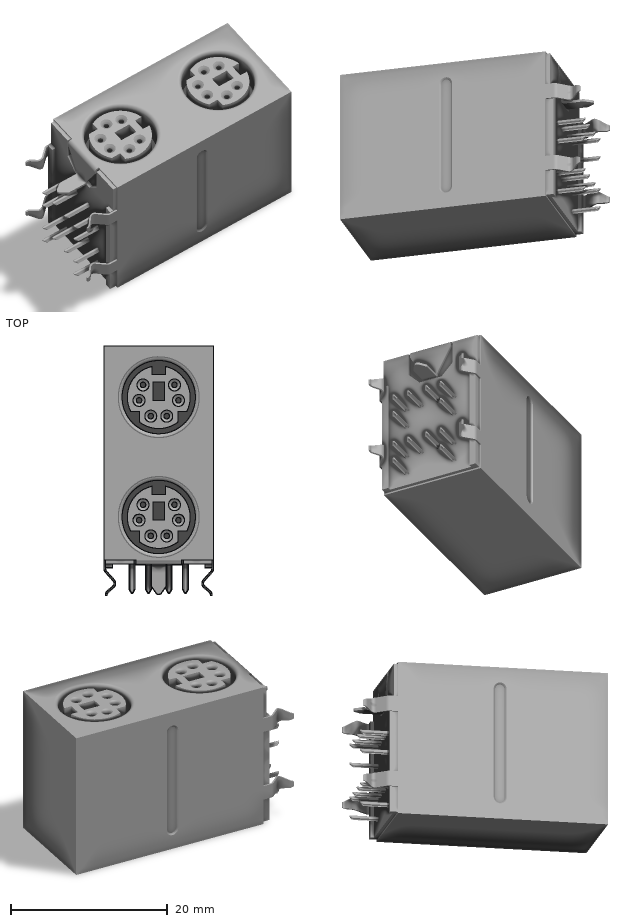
import cadquery as cq

WIDTH = 14.0
HEIGHT = 20.0
SHELL_LENGTH = 27.3
OVERALL_LENGTH = 31.8
SHEET = 0.22
LEG_TIP_Y = SHELL_LENGTH - OVERALL_LENGTH

CORE_OUT = 0.5
RAIL_OUT = 1.0
RAIL_WIDTH = 0.9
RAIL_TOP = 15.58

SOCKET_Y = 5.5
SOCKET_PITCH = 15.25
MOUTH_RADIUS = 4.67
MOUTH_ROUND = 0.48
GROOVE_DEPTH = 3.82
INSERT_RADIUS = 4.0
INSERT_DROP = 0.2
KEYWAY_WIDTH = 1.72
KEYWAY_FLOOR_Y = 2.9
SHOULDER_Y = -1.8
CHIN_WIDTH = 4.93
KEY_HOLE_WIDTH = 1.53
KEY_HOLE_LENGTH = 2.32
KEY_HOLE_Y = 0.75
KEY_HOLE_DEPTH = 3.18
CONTACTS = [(2.0, 1.55), (2.5, -0.4), (1.02, -2.42)]
CONTACT_RADIUS = 0.35
CONTACT_DEPTH = 3.18
CONE_RADIUS = 0.75
CONE_DEPTH = 0.38

SIDE_GROOVE_Y = 13.25
SIDE_GROOVE_LENGTH = 16.0
SIDE_GROOVE_WIDTH = 1.7
SIDE_GROOVE_DEPTH = 0.22
SIDE_GROOVE_TAPER = 45.0

TAB_WIDTH = 5.85
TAB_SHEET = 0.32
TAB_FACE_Y = -0.6
TAB_BEND = 0.2
TAB_TAPER_Z = 19.18
TONGUE_WIDTH = 1.97
TONGUE_TOP = 15.45
TONGUE_TIP_Y = -4.4
TONGUE_TAPER_Y = -3.3

POCKET_WIDTH = 6.35
POCKET_FLOOR_WIDTH = 3.18
POCKET_BOTTOM = 15.07
POCKET_CORNER_Z = 16.7
POCKET_FLOOR_Y = 0.0

LEG_Z = [4.55, 14.47]
LEG_WIDTH = 1.97
LEG_TAPER_Y = -2.83
LEG_TIP_WIDTH = 0.7
LEG_KNEE_Y = -1.3
LEG_ELBOW_Y = -3.02
LEG_ELBOW_IN = 1.65
LEG_ANKLE_Y = -4.15
LEG_ANKLE_IN = 0.302
LEG_BEND = 0.57

PIN_WIDE_X = 3.4
PIN_NARROW_X = 1.3
PIN_FOUR_Z = [4.25, 11.23]
PIN_TWO_DROP = 2.5
PIN_WIDTH = 0.75
PIN_HEIGHT = 0.55
PIN_EDGE_RISE = 0.13
PIN_CROWN_WIDTH = 0.4
PIN_CROWN_RISE = 0.38
PIN_HOLLOW_WIDTH = 0.32
PIN_HOLLOW_HEIGHT = 0.3
PIN_TIP_Y = -4.23
PIN_TAPER_Y = -3.72

NOSE_SHARE = 1 / 3
NOSE_ROUNDNESS = 1 / 4


def box(x_range, y_range, z_range):
    """Axis-aligned box between pairs of coordinates."""
    size = [high - low for low, high in (x_range, y_range, z_range)]
    corner = (x_range[0], y_range[0], z_range[0])
    return cq.Workplane("XY").box(*size, centered=False).translate(corner)


def bent_strip(points, bend, sheet, width, across_x):
    """Sheet strip swept along a path that sets out along -Y and is rounded at each corner.

    Its width lies along X if across_x is true, otherwise along Z.
    """
    path = cq.Wire.makePolygon([cq.Vector(*p) for p in points])
    path = path.fillet(bend, path.Vertices()[1:-1])
    section = (width, sheet) if across_x else (sheet, width)
    start = cq.Workplane(cq.Plane(origin=points[0], xDir=(1, 0, 0), normal=(0, -1, 0)))
    return start.rect(*section).sweep(cq.Workplane(path))


def pointed_plan(width, taper_y, tip_y):
    """Tall prism whose plan runs along -Y and closes in a blunt point."""
    half = width / 2
    nose = width * NOSE_SHARE
    tip = nose / 2
    tip_side_y = tip_y + nose * NOSE_ROUNDNESS
    outline = (
        cq.Workplane("XY")
        .moveTo(-half, 0)
        .lineTo(-half, taper_y)
        .lineTo(-tip, tip_side_y)
        .threePointArc((0, tip_y), (tip, tip_side_y))
        .lineTo(half, taper_y)
        .lineTo(half, 0)
        .close()
    )
    return outline.extrude(HEIGHT)


def make_body():
    """Shell filled by the core, with the core's end face and two rails standing proud."""
    half = WIDTH / 2
    inner = half - SHEET
    body = box((-half, half), (0, SHELL_LENGTH), (0, HEIGHT))
    body = body.union(box((-inner, inner), (-CORE_OUT, SHEET), (SHEET, HEIGHT - SHEET)))
    for left, right in ((-inner, RAIL_WIDTH - inner), (inner - RAIL_WIDTH, inner)):
        body = body.union(box((left, right), (-RAIL_OUT, SHEET), (SHEET, RAIL_TOP)))
    return body


def make_tab_pocket():
    """Six-sided recess in the core's end, open at its top."""
    half = POCKET_WIDTH / 2
    floor = POCKET_FLOOR_WIDTH / 2
    top = HEIGHT - SHEET
    outline = [(-half, top), (-half, POCKET_CORNER_Z), (-floor, POCKET_BOTTOM),
               (floor, POCKET_BOTTOM), (half, POCKET_CORNER_Z), (half, top)]
    plane = cq.Workplane("XZ", origin=(0, POCKET_FLOOR_Y, 0))
    return plane.polyline(outline).close().extrude(CORE_OUT)


def make_side_groove(side):
    """Round-ended groove with sloping walls; side is -1 or 1 along X."""
    centre = (side * WIDTH / 2, SIDE_GROOVE_Y, HEIGHT / 2)
    plane = cq.Plane(origin=centre, xDir=(0, 0, 1), normal=(-side, 0, 0))
    outline = cq.Workplane(plane).slot2D(SIDE_GROOVE_LENGTH, SIDE_GROOVE_WIDTH)
    return outline.extrude(SIDE_GROOVE_DEPTH, taper=SIDE_GROOVE_TAPER)


def make_insert():
    """Socket centre with a keyway, two shoulders, a key hole and funnel-mouthed contact holes."""
    top = GROOVE_DEPTH - INSERT_DROP
    reach = INSERT_RADIUS
    insert = cq.Workplane("XY").circle(INSERT_RADIUS).extrude(top)
    half_keyway = KEYWAY_WIDTH / 2
    insert = insert.cut(box((-half_keyway, half_keyway), (KEYWAY_FLOOR_Y, reach), (0, top)))
    half_chin = CHIN_WIDTH / 2
    for left, right in ((-reach, -half_chin), (half_chin, reach)):
        insert = insert.cut(box((left, right), (-reach, SHOULDER_Y), (0, top)))
    key_hole = cq.Workplane("XY", origin=(0, KEY_HOLE_Y, top)).rect(KEY_HOLE_WIDTH, KEY_HOLE_LENGTH)
    insert = insert.cut(key_hole.extrude(-KEY_HOLE_DEPTH))
    profile = [(0, 0), (CONE_RADIUS, 0), (CONTACT_RADIUS, -CONE_DEPTH),
               (CONTACT_RADIUS, -CONTACT_DEPTH), (0, -CONTACT_DEPTH)]
    contact = cq.Workplane("XZ").polyline(profile).close().revolve(360, (0, 0, 0), (0, 1, 0))
    for x, y in CONTACTS:
        for side in (-1, 1):
            insert = insert.cut(contact.translate((side * x, y, top)))
    return insert


def add_sockets(body):
    """Round-edged wells in the top face, each holding an insert."""
    floor = HEIGHT - GROOVE_DEPTH
    insert = make_insert()
    rim = MOUTH_RADIUS + MOUTH_ROUND
    well = (
        cq.Workplane("XZ")
        .lineTo(MOUTH_RADIUS, 0)
        .lineTo(MOUTH_RADIUS, GROOVE_DEPTH - MOUTH_ROUND)
        .radiusArc((rim, GROOVE_DEPTH), MOUTH_ROUND)
        .lineTo(0, GROOVE_DEPTH)
        .close()
        .revolve(360, (0, 0, 0), (0, 1, 0))
    )
    for y in (SOCKET_Y, SOCKET_Y + SOCKET_PITCH):
        body = body.cut(well.translate((0, y, floor)))
        body = body.union(insert.translate((0, y, floor)))
    return body


def make_tab():
    """Tab folded over the core's end, narrowing to a pointed tongue along -Y."""
    half_sheet = TAB_SHEET / 2
    face_mid = TAB_FACE_Y + half_sheet
    top_mid = HEIGHT - half_sheet
    tongue_mid = TONGUE_TOP - half_sheet
    path = [(0, SHEET, top_mid), (0, face_mid, top_mid),
            (0, face_mid, tongue_mid), (0, TONGUE_TIP_Y, tongue_mid)]
    tab = bent_strip(path, TAB_BEND + half_sheet, TAB_SHEET, TAB_WIDTH, True)
    half_tab = TAB_WIDTH / 2
    half_tongue = TONGUE_WIDTH / 2
    taper_end = TONGUE_TOP + TAB_BEND
    low = tongue_mid - TAB_SHEET
    front = [(-half_tab, HEIGHT), (-half_tab, TAB_TAPER_Z), (-half_tongue, taper_end), (-half_tongue, low),
             (half_tongue, low), (half_tongue, taper_end), (half_tab, TAB_TAPER_Z), (half_tab, HEIGHT)]
    front_outline = cq.Workplane("XZ", origin=(0, SHEET, 0)).polyline(front).close()
    tab = tab.intersect(front_outline.extrude(SHEET - TONGUE_TIP_Y))
    plate = box((-half_tab, half_tab), (TAB_FACE_Y - TAB_BEND, SHEET), (0, HEIGHT))
    return tab.intersect(pointed_plan(TONGUE_WIDTH, TONGUE_TAPER_Y, TONGUE_TIP_Y).union(plate))


def make_leg(side, z):
    """Zigzag spring leg; side is -1 or 1 along X."""
    outer = WIDTH / 2
    straight_x = side * (outer - SHEET / 2)
    elbow_x = side * (outer - LEG_ELBOW_IN)
    ankle_x = side * (outer - LEG_ANKLE_IN)
    path = [(straight_x, SHEET, z), (straight_x, LEG_KNEE_Y, z), (elbow_x, LEG_ELBOW_Y, z),
            (ankle_x, LEG_ANKLE_Y, z), (ankle_x, LEG_TIP_Y, z)]
    leg = bent_strip(path, LEG_BEND, SHEET, LEG_WIDTH, False)
    half = LEG_WIDTH / 2
    tip = LEG_TIP_WIDTH / 2
    outline = [(SHEET, z - half), (LEG_TAPER_Y, z - half), (LEG_TIP_Y, z - tip),
               (LEG_TIP_Y, z + tip), (LEG_TAPER_Y, z + half), (SHEET, z + half)]
    return leg.intersect(cq.Workplane("YZ").polyline(outline).close().extrude(outer, both=True))


def make_pin():
    """Arched strip along -Y with a pointed end, centred on X = 0 and lowest at Z = 0."""
    half = PIN_WIDTH / 2
    crown = PIN_CROWN_WIDTH / 2
    hollow = PIN_HOLLOW_WIDTH / 2
    section = (
        cq.Workplane("XZ")
        .moveTo(-hollow, 0)
        .lineTo(-half, PIN_EDGE_RISE)
        .lineTo(-crown, PIN_CROWN_RISE)
        .threePointArc((0, PIN_HEIGHT), (crown, PIN_CROWN_RISE))
        .lineTo(half, PIN_EDGE_RISE)
        .lineTo(hollow, 0)
        .threePointArc((0, PIN_HOLLOW_HEIGHT), (-hollow, 0))
        .close()
    )
    pin = section.extrude(-PIN_TIP_Y)
    under_slant = [(PIN_TAPER_Y, 0), (PIN_TIP_Y, PIN_CROWN_RISE), (PIN_TIP_Y, 0)]
    pin = pin.cut(cq.Workplane("YZ").polyline(under_slant).close().extrude(half, both=True))
    return pin.intersect(pointed_plan(PIN_WIDTH, PIN_TAPER_Y, PIN_TIP_Y))


def pin_places():
    """X and Z of every pin: a row of four above a row of two, for each socket."""
    places = []
    for z in PIN_FOUR_Z:
        for x in (PIN_NARROW_X, PIN_WIDE_X):
            places += [(-x, z), (x, z)]
        places += [(-PIN_WIDE_X, z - PIN_TWO_DROP), (PIN_WIDE_X, z - PIN_TWO_DROP)]
    return places


result = add_sockets(make_body()).cut(make_tab_pocket())
for side in (-1, 1):
    result = result.cut(make_side_groove(side))
    for z in LEG_Z:
        result = result.union(make_leg(side, z))
result = result.union(make_tab())
pin = make_pin()
for x, z in pin_places():
    result = result.union(pin.translate((x, 0, z)))